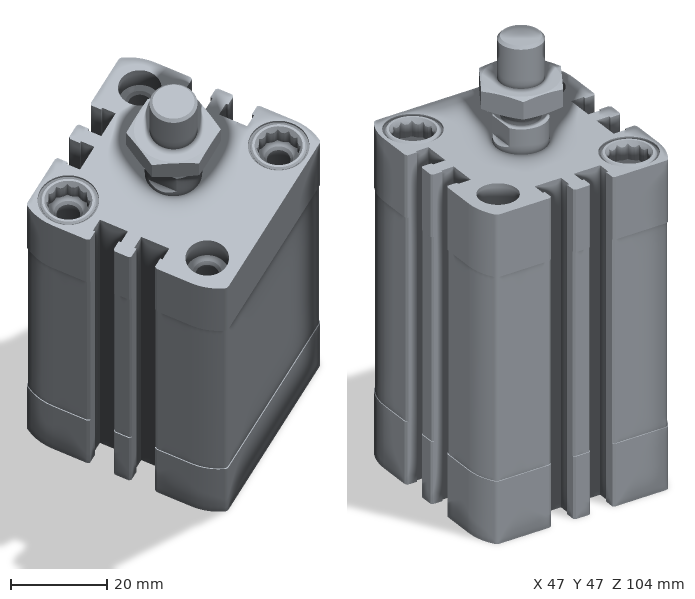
import cadquery as cq
import math

total_height = 104.0

width = 47.0
housing_height = 78.8
cap_height = 15.0
barrel_inset = 0.2

bolt_offset = 16.2
corner_radius = 12.5
corner_blend = 1.0

slot_floor = 17.7
slot_step = 20.8
mouth_near = 2.1
mouth_far = 7.6
undercut = 0.5
near_lip = 0.4
far_lip_width = 0.6
far_lip_depth = 0.3
slot_angles = (0, 90, 180)

through_diameter = 4.9
bevel_diameter = 6.0
bevel_depth = (bevel_diameter - through_diameter) / 2
counterbore_diameter = 9.0
counterbore_depth = 5.2

groove_diameter = 12.8
groove_depth = 0.5
head_diameter = 11.9
head_chamfer = 0.4
socket_rim_diameter = 10.0
socket_lead_in = 1.2
socket_bore_diameter = 8.5
socket_corner_diameter = 9.3
socket_depth = 4.4
socket_turn = 30

thread_diameter = 10.0
thread_chamfer = 0.6
shoulder_diameter = 12.0
shoulder_height = 6.0
neck_diameter = 8.2
neck_foot_diameter = 8.6
neck_foot_height = 0.7
neck_height = 0.8
wrench_width = 10.0
wrench_length = 4.4
wrench_runout = 0.7

nut_width = 17.1
nut_height = 5.0
nut_face_diameter = 16.4
nut_corner_drop = 0.4
rod_above_nut = 10.0
nut_top = total_height - rod_above_nut
nut_bottom = nut_top - nut_height


def corner_outline(half_width, arc_radius):
    """Closed outline with straight sides and an arc across each corner."""
    arc_centre = half_width - arc_radius

    def arc_point(x):
        return arc_centre + math.sqrt(arc_radius**2 - (x - bolt_offset) ** 2)

    arc_middle = (bolt_offset + half_width) / 2
    side = arc_point(half_width)
    middle = arc_point(arc_middle)
    return (
        cq.Workplane("XY")
        .moveTo(-bolt_offset, half_width)
        .lineTo(bolt_offset, half_width)
        .threePointArc((arc_middle, middle), (half_width, side))
        .lineTo(half_width, -side)
        .threePointArc((arc_middle, -middle), (bolt_offset, -half_width))
        .lineTo(-bolt_offset, -half_width)
        .threePointArc((-arc_middle, -middle), (-half_width, -side))
        .lineTo(-half_width, side)
        .threePointArc((-arc_middle, middle), (-bolt_offset, half_width))
        .close()
    )


def slot_cutters(half_width, height):
    """Pairs of T-slots with bevelled mouths, open at the given half width."""
    right_slot = (
        cq.Workplane("XY")
        .polyline([
            (mouth_near - undercut, slot_floor),
            (mouth_far + undercut, slot_floor),
            (mouth_far + undercut, slot_step),
            (mouth_far, slot_step),
            (mouth_far, half_width - far_lip_depth),
            (mouth_far + far_lip_width, half_width),
            (mouth_near - near_lip, half_width),
            (mouth_near, half_width - near_lip),
            (mouth_near, slot_step),
            (mouth_near - undercut, slot_step),
        ])
        .close()
        .extrude(height)
    )
    pair = right_slot.union(right_slot.mirror("YZ"))
    return [pair.rotate((0, 0, 0), (0, 0, 1), angle) for angle in slot_angles]


def profile_section(inset, bottom, height):
    """One length of slotted profile, shrunk by the inset on its outer sides."""
    half_width = width / 2 - inset
    section = corner_outline(half_width, corner_radius - inset).extrude(height)
    blended_edges = section.edges("|Z").edges("<X or >X")
    section = blended_edges.fillet(corner_blend)
    for cutter in slot_cutters(half_width, height):
        section = section.cut(cutter)
    return section.translate((0, 0, bottom))


def hole_cutter(floor_depth):
    """Through hole with a bevel at the floor of a recess of the given depth."""
    floor = housing_height - floor_depth
    return (
        cq.Workplane("XZ")
        .polyline([
            (0, 0),
            (through_diameter / 2, 0),
            (through_diameter / 2, floor - bevel_depth),
            (bevel_diameter / 2, floor),
            (0, floor),
        ])
        .close()
        .revolve(360, (0, 0), (0, 1))
    )


def counterbored_hole():
    """Cutters for a bevelled through hole below a plain counterbore."""
    counterbore = (
        cq.Workplane("XY", origin=(0, 0, housing_height - counterbore_depth))
        .circle(counterbore_diameter / 2)
        .extrude(counterbore_depth)
    )
    return [hole_cutter(counterbore_depth), counterbore]


def socket_hole():
    """Cutters for a twelve-point socket with a conical mouth, inside a ring groove."""
    floor = cq.Workplane("XY", origin=(0, 0, housing_height - socket_depth))
    hexagon = floor.polygon(6, socket_corner_diameter).extrude(socket_depth)
    star = (
        floor.circle(socket_bore_diameter / 2)
        .extrude(socket_depth)
        .union(hexagon)
        .union(hexagon.rotate((0, 0, 0), (0, 0, 1), socket_turn))
    )
    lead_in = (
        cq.Workplane("XZ")
        .polyline([
            (0, housing_height - socket_lead_in),
            (socket_bore_diameter / 2, housing_height - socket_lead_in),
            (socket_rim_diameter / 2, housing_height),
            (0, housing_height),
        ])
        .close()
        .revolve(360, (0, 0), (0, 1))
    )
    ring_groove = (
        cq.Workplane("XZ")
        .polyline([
            (groove_diameter / 2, housing_height),
            (groove_diameter / 2, housing_height - groove_depth),
            (head_diameter / 2, housing_height - groove_depth),
            (head_diameter / 2, housing_height - head_chamfer),
            (head_diameter / 2 - head_chamfer, housing_height),
        ])
        .close()
        .revolve(360, (0, 0), (0, 1))
    )
    return [hole_cutter(socket_depth), star.union(lead_in), ring_groove]


def make_housing():
    """Caps and barrel as one solid, with a pair of each corner hole on the diagonals."""
    barrel_height = housing_height - 2 * cap_height
    upper_cap_bottom = housing_height - cap_height
    housing = (
        profile_section(0, 0, cap_height)
        .union(profile_section(barrel_inset, cap_height, barrel_height))
        .union(profile_section(0, upper_cap_bottom, cap_height))
    )
    for side in (-1, 1):
        for cutter in counterbored_hole():
            housing = housing.cut(cutter.translate((side * bolt_offset, -side * bolt_offset, 0)))
        for cutter in socket_hole():
            housing = housing.cut(cutter.translate((side * bolt_offset, side * bolt_offset, 0)))
    return housing


def make_rod():
    """Rod standing on the housing: shoulder with flats, neck and threaded end."""
    shoulder_top = housing_height + shoulder_height
    neck_bottom = shoulder_top + neck_foot_height
    rod = (
        cq.Workplane("XZ")
        .polyline([
            (0, housing_height),
            (shoulder_diameter / 2, housing_height),
            (shoulder_diameter / 2, shoulder_top),
            (neck_foot_diameter / 2, shoulder_top),
            (neck_diameter / 2, neck_bottom),
            (neck_diameter / 2, neck_bottom + neck_height),
            (thread_diameter / 2, nut_bottom),
            (thread_diameter / 2, total_height - thread_chamfer),
            (thread_diameter / 2 - thread_chamfer, total_height),
            (0, total_height),
        ])
        .close()
        .revolve(360, (0, 0), (0, 1))
    )
    flat_bottom = shoulder_top - wrench_length
    flat_cutter = (
        cq.Workplane("YZ")
        .polyline([
            (wrench_width / 2, shoulder_top),
            (wrench_width / 2, flat_bottom),
            (shoulder_diameter / 2, flat_bottom - wrench_runout),
            (shoulder_diameter / 2, shoulder_top),
        ])
        .close()
        .extrude(shoulder_diameter / 2, both=True)
    )
    return rod.cut(flat_cutter).cut(flat_cutter.mirror("XZ"))


def make_nut():
    """Hexagonal nut with corners on the Y axis and conical chamfers on both faces."""
    corner_diameter = nut_width / math.cos(math.radians(30))
    chamfer_envelope = (
        cq.Workplane("XZ")
        .polyline([
            (0, nut_bottom),
            (nut_face_diameter / 2, nut_bottom),
            (corner_diameter / 2, nut_bottom + nut_corner_drop),
            (corner_diameter / 2, nut_top - nut_corner_drop),
            (nut_face_diameter / 2, nut_top),
            (0, nut_top),
        ])
        .close()
        .revolve(360, (0, 0), (0, 1))
    )
    return (
        cq.Workplane("XY", origin=(0, 0, nut_bottom))
        .polygon(6, corner_diameter)
        .circle(thread_diameter / 2)
        .extrude(nut_height)
        .rotate((0, 0, 0), (0, 0, 1), 90)
        .intersect(chamfer_envelope)
    )


housing = make_housing()
rod = make_rod()
nut = make_nut()
result = cq.Compound.makeCompound([housing.val(), rod.val(), nut.val()])